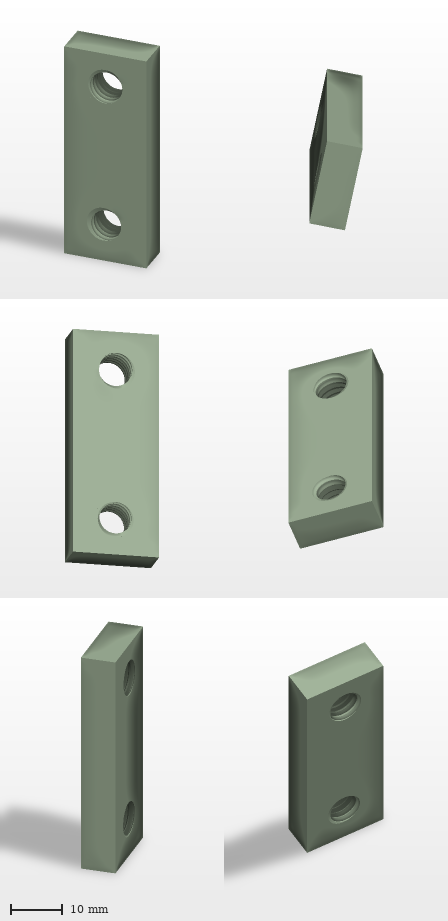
import cadquery as cq
import math

plate_width = 17.0
plate_thickness = 7.0
plate_height = 45.0
front_face_y = -plate_thickness / 2

hole_diameter = 8.0
hole_radius = hole_diameter / 2
hole_end_distance = 7.5
hole_z = plate_height / 2 - hole_end_distance
upper_minor_diameter = 6.52
lower_minor_diameter = 6.15

pitch = 1.25
root_gap = 0.15
flank_angle = 27.0
end_turns = 2
upper_groove_angle = 90.0
lower_groove_angle = 128.0


def front_cylinder(diameter, z):
    """Cylinder through the plate thickness, starting at the front face."""
    return (
        cq.Workplane("XZ", origin=(0, front_face_y, z))
        .circle(diameter / 2)
        .extrude(-plate_thickness)
    )


def make_plate_block():
    return cq.Workplane("XY").box(plate_width, plate_thickness, plate_height)


def make_plate():
    plate = make_plate_block()
    for z in (hole_z, -hole_z):
        plate = plate.cut(front_cylinder(hole_diameter, z))
    return plate


def make_thread(minor_diameter, groove_angle, z):
    """Right-hand helical ridge lining one hole, flush with both plate faces."""
    crest_radius = minor_diameter / 2
    flank_slope = math.tan(math.radians(flank_angle))
    base_half = (pitch - root_gap) / 2
    crest_half = base_half - (hole_radius - crest_radius) * flank_slope

    end_length = end_turns * pitch
    helix_length = plate_thickness + 2 * end_length
    helix = cq.Workplane(cq.Wire.makeHelix(pitch, helix_length, hole_radius))
    ridge = (
        cq.Workplane("XZ")
        .polyline([
            (crest_radius, -crest_half),
            (hole_radius, -base_half),
            (hole_radius, base_half),
            (crest_radius, crest_half),
        ])
        .close()
        .sweep(helix, isFrenet=True)
    )

    ridge_angle = groove_angle + 180
    ridge = (
        ridge.translate((0, 0, -helix_length / 2))
        .rotate((0, 0, 0), (1, 0, 0), 90)
    )
    front_turns = (helix_length - end_length) / pitch
    phase = ridge_angle - 360 * front_turns
    ridge = ridge.rotate((0, 0, 0), (0, -1, 0), phase).translate((0, 0, z))
    return ridge.intersect(make_plate_block())


plate = make_plate()
threads = [
    make_thread(minor_diameter, groove_angle, z)
    for minor_diameter, groove_angle, z in (
        (upper_minor_diameter, upper_groove_angle, hole_z),
        (lower_minor_diameter, lower_groove_angle, -hole_z),
    )
]

result = cq.Compound.makeCompound([plate.val(), *[thread.val() for thread in threads]])